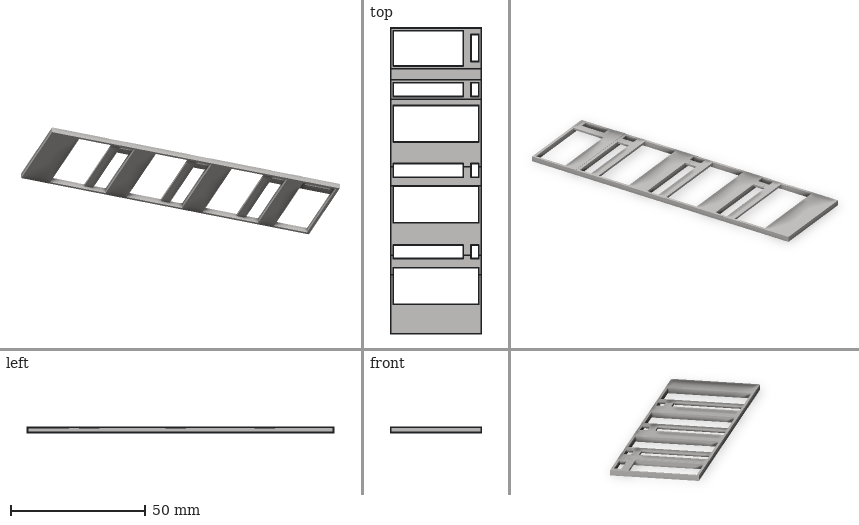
import cadquery as cq

WIDTH = 33.83
LENGTH = 114.18
THICKNESS = 2.1
RIM = 1.0
LEFT, RIGHT = -WIDTH / 2, WIDTH / 2
BACK = LENGTH / 2

STEP_DEPTH = 0.1
END_STEP_LENGTH = 15.25
BAND_LENGTH = 7.25
BAND_STARTS = (19.4, 51.75, 84.9)

SLOT_LENGTH = 5.0
SLOT_STARTS = (20.55, 50.65, 81.05)
WINDOW_LENGTH = 13.5
WINDOW_STARTS = (29.0, 59.15, 89.55)

NARROW_WIDTH = 2.8
POST_WIDTH = 3.0
INNER_WIDTH = WIDTH - 2 * RIM
WIDE_WIDTH = INNER_WIDTH - NARROW_WIDTH - POST_WIDTH
INNER_LEFT = LEFT + RIM
NARROW_LEFT = RIGHT - RIM - NARROW_WIDTH

END_START = 1.1
END_WIDE_LENGTH = 13.1
END_NARROW_START = 2.5
END_NARROW_LENGTH = 10.0

POCKET_DEPTH = 1.2


def block(left, start, width, length, bottom=0.0, top=THICKNESS):
    """Box between two heights; start is measured from the back end toward -Y."""
    return (
        cq.Workplane("XY")
        .box(width, length, top - bottom, centered=False)
        .translate((left, BACK - start - length, bottom))
    )


def cut_step(plate, start, length):
    """Lower the top face over the full width."""
    return plate.cut(block(LEFT, start, WIDTH, length, bottom=THICKNESS - STEP_DEPTH))


def cut_pocket(plate, start, length):
    """Hollow the underside from rim to rim."""
    return plate.cut(block(INNER_LEFT, start, INNER_WIDTH, length, top=POCKET_DEPTH))


def cut_end_openings(plate):
    """Cut the wide and narrow openings at the back end."""
    plate = plate.cut(block(INNER_LEFT, END_START, WIDE_WIDTH, END_WIDE_LENGTH))
    return plate.cut(block(NARROW_LEFT, END_NARROW_START, NARROW_WIDTH, END_NARROW_LENGTH))


def cut_slot_row(plate, start):
    """Cut a wide slot and the narrow slot beside it."""
    plate = plate.cut(block(INNER_LEFT, start, WIDE_WIDTH, SLOT_LENGTH))
    return plate.cut(block(NARROW_LEFT, start, NARROW_WIDTH, SLOT_LENGTH))


def cut_window(plate, start):
    """Cut a window that spans from rim to rim."""
    return plate.cut(block(INNER_LEFT, start, INNER_WIDTH, WINDOW_LENGTH))


result = block(LEFT, 0, WIDTH, LENGTH)
result = cut_step(result, 0, END_STEP_LENGTH)
result = cut_pocket(result, END_START, END_WIDE_LENGTH)
result = cut_end_openings(result)
for band_start in BAND_STARTS:
    result = cut_step(result, band_start, BAND_LENGTH)
for slot_start, window_start in zip(SLOT_STARTS, WINDOW_STARTS):
    group_length = window_start + WINDOW_LENGTH - slot_start
    result = cut_pocket(result, slot_start, group_length)
    result = cut_slot_row(result, slot_start)
    result = cut_window(result, window_start)